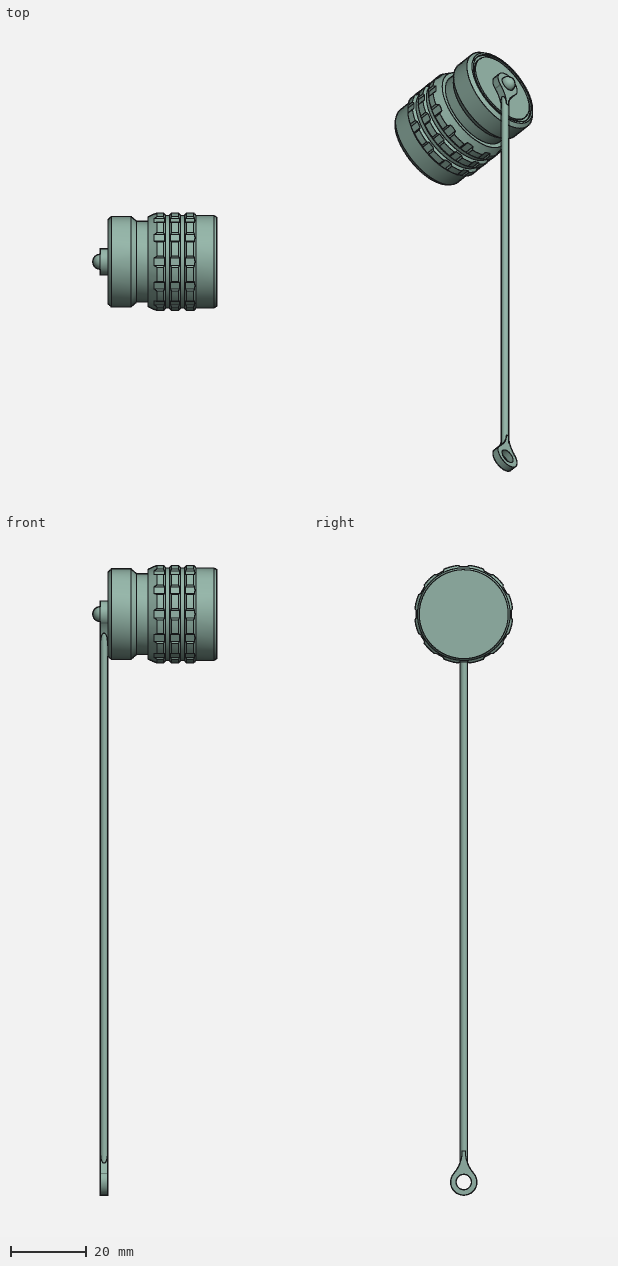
import cadquery as cq
import math


rivet_radius = 2.0

cord_diameter = 2.0
eye_outer_radius = 3.5
eye_spacing = 150.0
eye_fillet_radius = 9.0
neck_tip_half_width = 0.4
eye_front_x = rivet_radius
cap_front_x = eye_front_x + cord_diameter
cord_axis_x = eye_front_x + cord_diameter / 2

fillet_center_y = neck_tip_half_width + eye_fillet_radius
fillet_center_reach = eye_outer_radius + eye_fillet_radius
eye_neck_end = math.sqrt(fillet_center_reach**2 - fillet_center_y**2)
strand_start = eye_neck_end - math.sqrt(eye_fillet_radius**2 - (fillet_center_y - cord_diameter / 2) ** 2)

cap_end_x = 32.8
front_chamfer = 1.0
front_chamfer_depth = 0.9
front_band_end_x = 10.1
neck_start_x = 11.6
flange_x = 14.6
end_chamfer = 0.8
end_chamfer_depth = 0.5

groove_inner_radius = 9.8
groove_outer_radius = 10.6
groove_depth = 0.5

front_band_radius = 12.0
neck_radius = 10.7
flange_radius = 11.85
body_radius = 12.25

rib_crest_radius = 13.0
first_rib_crest_start_x = 17.0
first_rib_crest_end_x = 18.7
rib_centers_x = [21.75, 25.75]
rib_crest_width = 1.8
rib_flank = 0.6
rib_base_width = rib_crest_width + 2 * rib_flank
notch_count = 12
notch_floor_radius = 12.6
notch_floor_width = 2.0
notch_mouth_width = 3.25


def revolve_about_x(outline):
    """Turn an (x, radius) outline around the cap axis."""
    return outline.close().revolve(360, (0, 0, 0), (1, 0, 0))


def make_cap_body():
    """Rivet head and shank, front band, neck and grip body as one turned shape."""
    arc_mid = rivet_radius * math.sqrt(0.5)
    outline = (
        cq.Workplane("XY")
        .moveTo(0, 0)
        .threePointArc((rivet_radius - arc_mid, arc_mid), (rivet_radius, rivet_radius))
        .lineTo(cap_front_x, rivet_radius)
        .lineTo(cap_front_x, groove_inner_radius)
        .lineTo(cap_front_x + groove_depth, groove_inner_radius)
        .lineTo(cap_front_x + groove_depth, groove_outer_radius)
        .lineTo(cap_front_x, groove_outer_radius)
        .lineTo(cap_front_x, front_band_radius - front_chamfer_depth)
        .lineTo(cap_front_x + front_chamfer, front_band_radius)
        .lineTo(front_band_end_x, front_band_radius)
        .lineTo(neck_start_x, neck_radius)
        .lineTo(flange_x, neck_radius)
        .lineTo(flange_x, flange_radius)
        .lineTo(first_rib_crest_start_x, rib_crest_radius)
        .lineTo(first_rib_crest_end_x, rib_crest_radius)
        .lineTo(first_rib_crest_end_x + rib_flank, body_radius)
        .lineTo(cap_end_x - end_chamfer, body_radius)
        .lineTo(cap_end_x, body_radius - end_chamfer_depth)
        .lineTo(cap_end_x, 0)
    )
    return revolve_about_x(outline)


def make_rib(center_x):
    """Ring with a trapezoid section, rooted inside the body."""
    root_radius = neck_radius
    outline = (
        cq.Workplane("XY")
        .moveTo(center_x - rib_base_width / 2, root_radius)
        .lineTo(center_x - rib_base_width / 2, body_radius)
        .lineTo(center_x - rib_crest_width / 2, rib_crest_radius)
        .lineTo(center_x + rib_crest_width / 2, rib_crest_radius)
        .lineTo(center_x + rib_base_width / 2, body_radius)
        .lineTo(center_x + rib_base_width / 2, root_radius)
    )
    return revolve_about_x(outline)


def make_notch():
    """Flat-bottomed trapezoid cutter at the top of the ribs, running along the axis."""
    return (
        cq.Workplane("YZ", origin=(flange_x, 0, 0))
        .moveTo(-notch_floor_width / 2, notch_floor_radius)
        .lineTo(notch_floor_width / 2, notch_floor_radius)
        .lineTo(notch_mouth_width / 2, rib_crest_radius)
        .lineTo(-notch_mouth_width / 2, rib_crest_radius)
        .close()
        .extrude(cap_end_x - flange_x)
    )


def make_cap():
    cap = make_cap_body()
    for center_x in rib_centers_x:
        cap = cap.union(make_rib(center_x))
    for index in range(notch_count):
        angle = index * 360 / notch_count
        cap = cap.cut(make_notch().rotate((0, 0, 0), (1, 0, 0), angle))
    return cap


def make_eye():
    """Flat eye around the rivet, narrowing to the cord on its -Z side."""
    rim_scale = eye_outer_radius / fillet_center_reach
    rim_y = fillet_center_y * rim_scale
    rim_z = -eye_neck_end * rim_scale
    fillet_mid_angle = (math.pi + math.atan2(eye_neck_end, -fillet_center_y)) / 2
    mid_y = fillet_center_y + eye_fillet_radius * math.cos(fillet_mid_angle)
    mid_z = -eye_neck_end + eye_fillet_radius * math.sin(fillet_mid_angle)
    eye_plane = cq.Workplane("YZ", origin=(eye_front_x, 0, 0))
    hole = eye_plane.circle(rivet_radius).extrude(cord_diameter)
    plate = (
        eye_plane.moveTo(-rim_y, rim_z)
        .threePointArc((0, eye_outer_radius), (rim_y, rim_z))
        .threePointArc((mid_y, mid_z), (neck_tip_half_width, -eye_neck_end))
        .lineTo(-neck_tip_half_width, -eye_neck_end)
        .threePointArc((-mid_y, mid_z), (-rim_y, rim_z))
        .close()
        .extrude(cord_diameter)
    )
    return plate.cut(hole)


def make_cord():
    """Round cord hanging along -Z with an eye at each end."""
    upper_eye = make_eye()
    lower_eye = upper_eye.mirror("XY", (0, 0, -eye_spacing / 2))
    strand = (
        cq.Workplane("XY", origin=(cord_axis_x, 0, -strand_start))
        .circle(cord_diameter / 2)
        .extrude(-(eye_spacing - 2 * strand_start))
    )
    return strand.union(upper_eye).union(lower_eye)


cap = make_cap()
cord = make_cord()

result = cq.Compound.makeCompound([cap.val(), cord.val()])